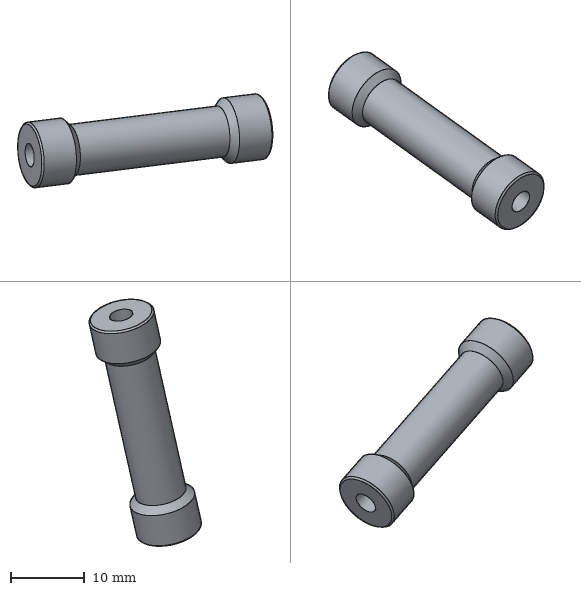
import cadquery as cq

length = 34.0
head_diameter = 9.0
shank_diameter = 7.0
bore_diameter = 3.2

head_length = 5.0
end_chamfer = 0.25

head_radius = head_diameter / 2
shank_radius = shank_diameter / 2
bore_radius = bore_diameter / 2
shoulder_length = head_radius - shank_radius

end_y = length / 2
head_inner_y = end_y - head_length
shank_end_y = head_inner_y - shoulder_length


def half_outline():
    """Outer (radius, y) points of the +Y half, from the shank to the end face."""
    return [
        (shank_radius, shank_end_y),
        (head_radius, head_inner_y),
        (head_radius, end_y - end_chamfer),
        (head_radius - end_chamfer, end_y),
        (bore_radius, end_y),
    ]


def sleeve():
    """Revolve the bored, double-headed profile about the Y axis."""
    upper_points = half_outline()
    lower_points = [(radius, -y) for radius, y in reversed(upper_points)]
    profile = cq.Workplane("XY").polyline(lower_points + upper_points).close()
    return profile.revolve(360, (0, 0, 0), (0, 1, 0))


result = sleeve()